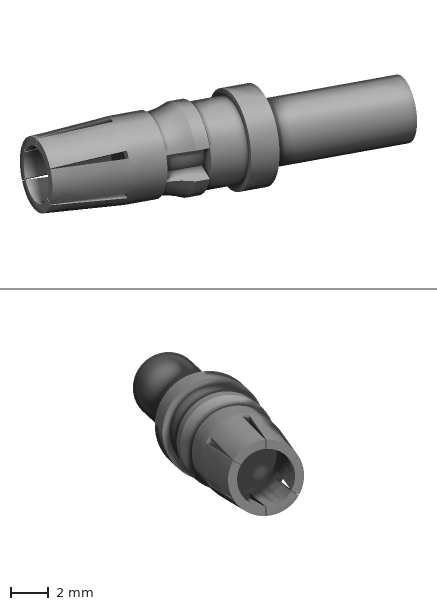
import cadquery as cq
import math


total_length = 21.35
stem_length = 8.45
flange_thickness = 1.65
rear_neck_length = 2.15
ring_clearance = 0.1
ring_straight_length = 0.8
ring_flare_length = 1.65
bend_start_y = 4.85
bend_end_y = 4.5
slot_root_y = 4.4
bore_floor_y = 5.2

flange_rear_y = total_length - stem_length
flange_front_y = flange_rear_y - flange_thickness
neck_front_y = flange_front_y - rear_neck_length
ring_rear_y = neck_front_y - ring_clearance
ring_shoulder_y = ring_rear_y - ring_straight_length
collar_rear_y = ring_shoulder_y - ring_flare_length

stem_diameter = 3.7
flange_diameter = 5.6
body_diameter = 4.8
core_diameter = 3.0
ring_diameter = 5.2
ring_small_diameter = 4.5
socket_bore_diameter = 3.81
mouth_outer_diameter = 4.16
mouth_bore_diameter = mouth_outer_diameter - (body_diameter - socket_bore_diameter)

ring_split_angle = 40.0

slot_count = 6
slot_root_width = 0.43
slot_mouth_width = 0.04

cut_margin = 1.0


def cylinder(diameter, front_y, rear_y):
    """Solid cylinder on the Y axis between two stations."""
    base = cq.Workplane("XZ", origin=(0, front_y, 0))
    return base.circle(diameter / 2).extrude(front_y - rear_y)


def revolve_on_axis(profile):
    """Revolve an XY profile a full turn about the Y axis."""
    return profile.close().revolve(360, (0, 0, 0), (0, 1, 0))


def bent_tube_envelope(straight_diameter, mouth_diameter, rear_y):
    """Straight barrel that bends smoothly into a cone narrowing to the mouth."""
    straight_radius = straight_diameter / 2
    mouth_radius = mouth_diameter / 2
    corner_y = (bend_start_y + bend_end_y) / 2
    tangent_length = bend_start_y - corner_y
    cone_angle = math.atan2(straight_radius - mouth_radius, corner_y)
    bend_end = (
        straight_radius - tangent_length * math.sin(cone_angle),
        corner_y - tangent_length * math.cos(cone_angle),
    )
    profile = (
        cq.Workplane("XY")
        .moveTo(0, rear_y)
        .lineTo(straight_radius, rear_y)
        .lineTo(straight_radius, bend_start_y)
        .tangentArcPoint(bend_end, relative=False)
        .lineTo(mouth_radius, 0)
        .lineTo(0, 0)
    )
    return revolve_on_axis(profile)


def finger_slot(angle):
    """Wedge-shaped cutter on one side of the axis, narrowing toward the mouth."""
    cutter = (
        cq.Workplane("XY")
        .moveTo(-slot_mouth_width / 2, 0)
        .lineTo(-slot_root_width / 2, slot_root_y)
        .lineTo(slot_root_width / 2, slot_root_y)
        .lineTo(slot_mouth_width / 2, 0)
        .close()
        .extrude(body_diameter / 2 + cut_margin)
    )
    return cutter.rotate((0, 0, 0), (0, 1, 0), angle)


def make_socket():
    """Front collar and six spring fingers around a blind bore."""
    socket = bent_tube_envelope(body_diameter, mouth_outer_diameter, collar_rear_y)
    socket = socket.cut(bent_tube_envelope(socket_bore_diameter, mouth_bore_diameter, bore_floor_y))
    for index in range(slot_count):
        socket = socket.cut(finger_slot(index * 360 / slot_count))
    return socket


def make_locking_ring():
    """Flared ring on the core, split along its length on the +X side."""
    profile = (
        cq.Workplane("XY")
        .moveTo(0, ring_rear_y)
        .lineTo(ring_diameter / 2, ring_rear_y)
        .lineTo(ring_diameter / 2, ring_shoulder_y)
    )
    flare_drop = (ring_diameter - ring_small_diameter) / 2
    flare_radius = (flare_drop ** 2 + ring_flare_length ** 2) / (2 * flare_drop)
    profile = profile.radiusArc(
        (ring_small_diameter / 2, collar_rear_y), -flare_radius
    ).lineTo(0, collar_rear_y)
    ring = revolve_on_axis(profile)

    split_reach = ring_diameter / 2 + cut_margin
    split_half_width = split_reach * math.tan(math.radians(ring_split_angle / 2))
    split = (
        cq.Workplane("XZ", origin=(0, collar_rear_y, 0))
        .moveTo(0, 0)
        .lineTo(split_reach, -split_half_width)
        .lineTo(split_reach, split_half_width)
        .close()
        .extrude(collar_rear_y - ring_rear_y)
    )
    return ring.cut(split)


stem = cylinder(stem_diameter, flange_rear_y, total_length)
flange = cylinder(flange_diameter, flange_front_y, flange_rear_y)
rear_neck = cylinder(body_diameter, neck_front_y, flange_front_y)
core = cylinder(core_diameter, collar_rear_y, neck_front_y)

result = make_socket().union(core).union(make_locking_ring())
result = result.union(rear_neck).union(flange).union(stem)